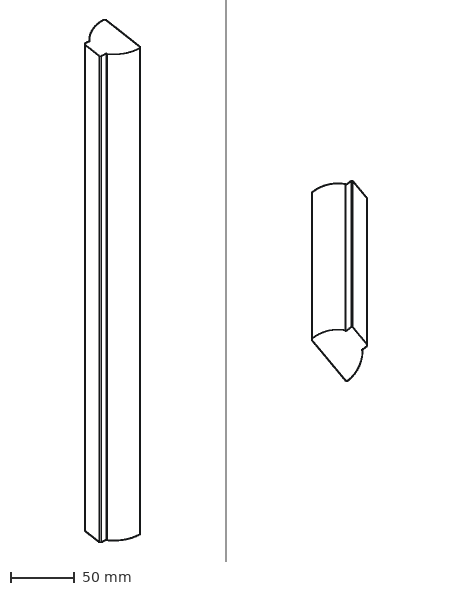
import cadquery as cq
import math

length = 508.0
width = 44.0
depth = 31.5
stem_width = 20.0
stem_depth = 6.0
ledge = 1.0
chamfer = 1.0

half_width = width / 2
half_stem = stem_width / 2
flank_end_x = half_stem + ledge
back_y = depth / 2
front_y = -depth / 2
shoulder_y = front_y + stem_depth
flank_start_y = back_y - chamfer

flank_rise = flank_start_y - shoulder_y
flank_inset = half_width - flank_end_x
flank_radius = (flank_rise**2 + flank_inset**2) / (2 * flank_inset)
half_sweep = math.asin(flank_rise / flank_radius) / 2
flank_mid_x = half_width - flank_radius * (1 - math.cos(half_sweep))
flank_mid_y = flank_start_y - flank_radius * math.sin(half_sweep)

profile = (
    cq.Workplane("XY")
    .workplane(offset=-length / 2)
    .moveTo(-half_width + chamfer, back_y)
    .lineTo(-half_width, flank_start_y)
    .threePointArc((-flank_mid_x, flank_mid_y), (-flank_end_x, shoulder_y))
    .lineTo(-half_stem, shoulder_y)
    .lineTo(-half_stem, front_y + chamfer)
    .lineTo(-half_stem + chamfer, front_y)
    .lineTo(half_stem - chamfer, front_y)
    .lineTo(half_stem, front_y + chamfer)
    .lineTo(half_stem, shoulder_y)
    .lineTo(flank_end_x, shoulder_y)
    .threePointArc((flank_mid_x, flank_mid_y), (half_width, flank_start_y))
    .lineTo(half_width - chamfer, back_y)
    .close()
)

result = profile.extrude(length)